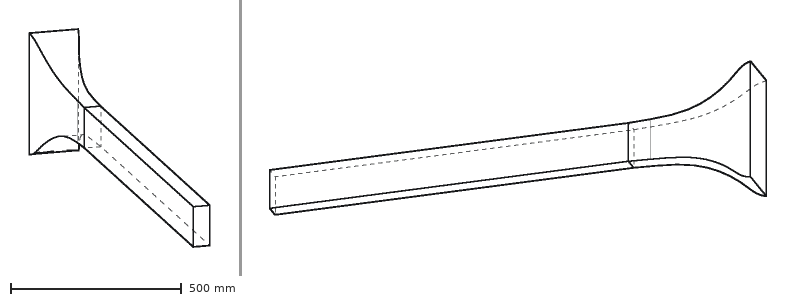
import cadquery as cq

total_length = 1496.0
mouth_width = 150.0
mouth_height = 370.0
bar_width = 51.0
bar_height = 123.0
flare_length = 392.0
width_taper_length = 325.0

width_curve_points = [(35.0, 67.0), (75.0, 55.0), (129.0, 43.0), (183.0, 35.0), (240.0, 28.0)]
height_curve_points = [(35.0, 170.0), (61.0, 148.0), (115.0, 110.0), (169.0, 87.0), (223.0, 73.0), (290.0, 66.0)]


def flare_prism(plane, depth, mouth_size, bar_size, taper_length, curve_points):
    """Prism centred on its plane whose outline narrows from the mouth to the bar size."""
    mouth_half = mouth_size / 2
    bar_half = bar_size / 2
    upper_curve = curve_points + [(taper_length, bar_half)]
    lower_curve = [(x, -half) for x, half in reversed(curve_points)] + [(0, -mouth_half)]
    profile = (
        cq.Workplane(plane)
        .workplane(offset=-depth / 2)
        .moveTo(0, mouth_half)
        .spline(upper_curve, includeCurrent=True)
    )
    if taper_length < flare_length:
        profile = (
            profile.lineTo(flare_length, bar_half)
            .lineTo(flare_length, -bar_half)
            .lineTo(taper_length, -bar_half)
        )
    else:
        profile = profile.lineTo(taper_length, -bar_half)
    profile = profile.spline(lower_curve, includeCurrent=True)
    return profile.close().extrude(depth)


def make_flare():
    """Solid horn tapering in both width and height."""
    width_prism = flare_prism(
        "XY", 2 * mouth_height, mouth_width, bar_width,
        width_taper_length, width_curve_points,
    )
    height_prism = flare_prism(
        "XZ", 2 * mouth_width, mouth_height, bar_height,
        flare_length, height_curve_points,
    )
    return width_prism.intersect(height_prism)


def make_bar():
    """Straight rectangular bar butting against the narrow end of the flare."""
    return (
        cq.Workplane("YZ")
        .workplane(offset=flare_length)
        .rect(bar_width, bar_height)
        .extrude(total_length - flare_length)
    )


flare = make_flare()
bar = make_bar()

result = cq.Compound.makeCompound([*flare.solids().vals(), bar.val()])